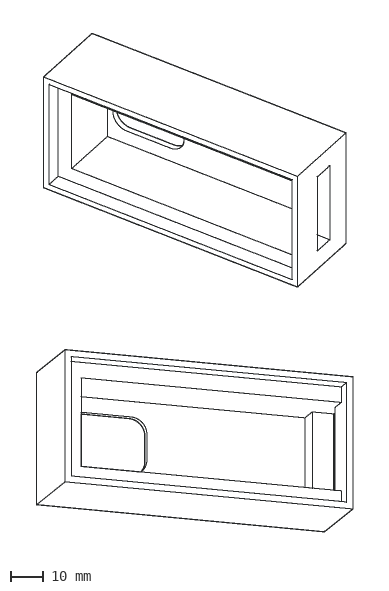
import cadquery as cq

length = 93.0
depth = 27.0
height = 42.0
wall = 2.0

ledge = 4.9
ledge_front = 5.1
inset = wall + ledge

post_depth = 7.0
back_face = depth - wall
post_front = back_face - post_depth
side_opening_front = 11.1

window_left = 9.0
window_length = 25.95
window_height = 18.2
window_corner = 5.0


def block(x_range, y_range, z_range):
    """Box filling the given (start, end) range along each axis."""
    starts, ends = zip(x_range, y_range, z_range)
    sizes = [end - start for start, end in zip(starts, ends)]
    return cq.Workplane("XY").box(*sizes, centered=False).translate(starts)


inner_z = (inset, height - inset)

body = block((0, length), (0, depth), (0, height))
front_recess = block((wall, length - wall), (0, ledge_front), (wall, height - wall))
cavity = block((inset, length - wall), (0, back_face), inner_z)
post = block((length - inset, length), (post_front, depth), inner_z)
side_opening = block((length - inset, length), (side_opening_front, post_front), inner_z)

window = (
    block(
        (window_left, window_left + window_length),
        (back_face, depth),
        ((height - window_height) / 2, (height + window_height) / 2),
    )
    .edges("|Y")
    .fillet(window_corner)
)

result = body.cut(front_recess).cut(cavity).union(post).cut(side_opening).cut(window)